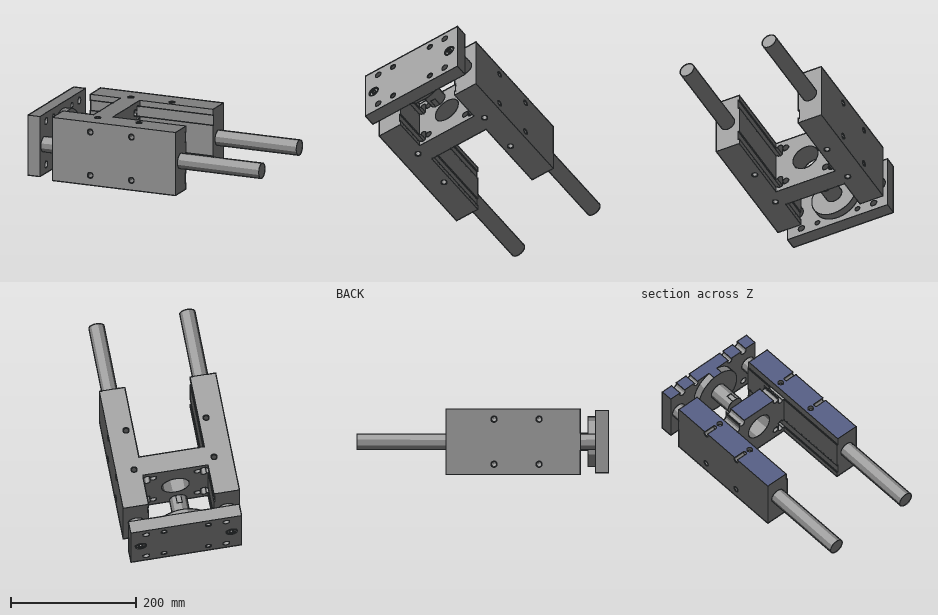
import cadquery as cq
import math

OVERALL_LENGTH = 402.0

PLATE_THICKNESS = 21.0
PLATE_WIDTH = 180.0
PLATE_HEIGHT = 100.0

BODY_START = 45.0
BODY_LENGTH = 215.0
BODY_WIDTH = 189.0
BODY_HEIGHT = 105.0
ARM_GAP = 106.0
BRIDGE_START = 98.5
BRIDGE_THICKNESS = 33.5
CYLINDER_BORE_DIAMETER = 45.0

ROD_DIAMETER = 25.0
ROD_SPACING = 147.5

FLANGE_DIAMETER = 80.0
FLANGE_THICKNESS = 12.0
STUB_DIAMETER = 28.23
STUB_LENGTH = 40.5
STUB_FLAT_WIDTH = 27.0
STUB_FLAT_LENGTH = 14.0

BOLT_SPACING = 72.0
CLEARANCE_DIAMETER = 11.0
PLATE_MOUNT_SPACING = 130.0

TAP_DIAMETER = 8.38
TAP_MOUTH_DIAMETER = 10.0
TAP_DEPTH = 20.0
DRILL_TIP_ANGLE = 118.0
FIRST_TAP_X = 111.0
TOP_TAP_SPACING = 130.0

SCREW_BORE_DIAMETER = 18.0
SCREW_BORE_DEPTH = 11.0
SCREW_HEAD_DIAMETER = 17.0
SCREW_HEAD_HEIGHT = 10.0
SCREW_HEAD_CHAMFER = 1.3
SOCKET_ACROSS_FLATS = 7.0
SOCKET_DEPTH = 5.0

GROOVE_CENTRE_Z = 34.0
GROOVE_WIDTH = 17.0
GROOVE_DEPTH = 1.9
SLOT_HEIGHT = 23.0
SLOT_WIDTH = 9.5
SLOT_INNER_Y = 41.3

SIDES = (-1, 1)


def block(x_start, length, width, height, y=0.0, z=0.0):
    """Box starting at x_start, centred on (y, z)."""
    return cq.Workplane("XY").box(length, width, height).translate((x_start + length / 2, y, z))


def cylinder_x(x_start, length, diameter, y=0.0, z=0.0):
    """Cylinder along +X."""
    return cq.Workplane("YZ", origin=(x_start, y, z)).circle(diameter / 2).extrude(length)


def square_pattern(y_spacing, z_spacing):
    """Four (y, z) places centred on the axis."""
    return [(sy * y_spacing / 2, sz * z_spacing / 2) for sy in SIDES for sz in SIDES]


def make_housing():
    """Two side arms joined by a bridge with the cylinder bore and its four bolt holes."""
    body = block(BODY_START, BODY_LENGTH, BODY_WIDTH, BODY_HEIGHT)
    bridge_end = BRIDGE_START + BRIDGE_THICKNESS
    body = body.cut(block(BODY_START, BRIDGE_START - BODY_START, ARM_GAP, BODY_HEIGHT))
    body = body.cut(block(bridge_end, BODY_START + BODY_LENGTH - bridge_end, ARM_GAP, BODY_HEIGHT))
    body = body.cut(cylinder_x(BRIDGE_START, BRIDGE_THICKNESS, CYLINDER_BORE_DIAMETER))
    for y, z in square_pattern(BOLT_SPACING, BOLT_SPACING):
        body = body.cut(cylinder_x(BRIDGE_START, BRIDGE_THICKNESS, CLEARANCE_DIAMETER, y, z))
    return body


def cut_grooves(body):
    """Cut the four long grooves in the arms and the upright slots they open into through the bridge."""
    slot_y = SLOT_INNER_Y + SLOT_WIDTH / 2
    opening_width = ARM_GAP / 2 - slot_y
    groove_y = (ARM_GAP + GROOVE_DEPTH) / 2
    for side, z in square_pattern(2, 2 * GROOVE_CENTRE_Z):
        body = body.cut(block(BODY_START, BODY_LENGTH, GROOVE_DEPTH, GROOVE_WIDTH, side * groove_y, z))
        opening_y = side * (slot_y + opening_width / 2)
        body = body.cut(block(BRIDGE_START, BRIDGE_THICKNESS, opening_width, GROOVE_WIDTH, opening_y, z))
        slot = cq.Workplane("YZ", origin=(BRIDGE_START, side * slot_y, z))
        body = body.cut(slot.slot2D(SLOT_HEIGHT, SLOT_WIDTH, 90).extrude(BRIDGE_THICKNESS))
    return body


def make_tap():
    """Drilled hole below the XY plane with a countersunk mouth and a conical tip."""
    radius = TAP_DIAMETER / 2
    mouth_radius = TAP_MOUTH_DIAMETER / 2
    tip_height = radius / math.tan(math.radians(DRILL_TIP_ANGLE / 2))
    profile = [
        (0, 0),
        (mouth_radius, 0),
        (radius, radius - mouth_radius),
        (radius, -TAP_DEPTH),
        (0, -TAP_DEPTH - tip_height),
    ]
    return cq.Workplane("XZ").polyline(profile).close().revolve(360, (0, 0, 0), (0, 1, 0))


def cut_taps(body):
    """Cut the tapped holes in the top, bottom and outer side faces of the arms."""
    tap = make_tap()
    axis_end = (1, 0, 0)
    for x in (FIRST_TAP_X, FIRST_TAP_X + BOLT_SPACING):
        for side in SIDES:
            top = tap.translate((x, side * TOP_TAP_SPACING / 2, BODY_HEIGHT / 2))
            body = body.cut(top).cut(top.rotate((0, 0, 0), axis_end, 180))
            outward = tap.rotate((0, 0, 0), axis_end, 90)
            front = outward.translate((x, -BODY_WIDTH / 2, side * BOLT_SPACING / 2))
            body = body.cut(front).cut(front.rotate((0, 0, 0), axis_end, 180))
    return body


def make_plate():
    """Front plate with tapped holes, mounting holes and counterbores for the rod screws."""
    plate = block(0, PLATE_THICKNESS, PLATE_WIDTH, PLATE_HEIGHT)
    hole_radius = TAP_DIAMETER / 2
    mouth_radius = TAP_MOUTH_DIAMETER / 2
    mouth_depth = mouth_radius - hole_radius
    along_x = cq.Vector(1, 0, 0)
    for y, z in square_pattern(BOLT_SPACING, BOLT_SPACING):
        hole = cylinder_x(0, PLATE_THICKNESS, TAP_DIAMETER, y, z)
        countersink = cq.Solid.makeCone(mouth_radius, hole_radius, mouth_depth, cq.Vector(0, y, z), along_x)
        plate = plate.cut(hole).cut(countersink)
    for y, z in square_pattern(PLATE_MOUNT_SPACING, BOLT_SPACING):
        plate = plate.cut(cylinder_x(0, PLATE_THICKNESS, CLEARANCE_DIAMETER, y, z))
    for side in SIDES:
        plate = plate.cut(cylinder_x(0, SCREW_BORE_DEPTH, SCREW_BORE_DIAMETER, side * ROD_SPACING / 2))
    return plate


def make_screw_head(y):
    """Socket screw head seated at the bottom of its counterbore."""
    head_start = SCREW_BORE_DEPTH - SCREW_HEAD_HEIGHT
    head = cylinder_x(head_start, SCREW_HEAD_HEIGHT, SCREW_HEAD_DIAMETER, y)
    head = head.faces("<X").chamfer(SCREW_HEAD_CHAMFER)
    across_corners = SOCKET_ACROSS_FLATS / math.cos(math.pi / 6)
    socket = cq.Workplane("YZ", origin=(head_start, y, 0)).polygon(6, across_corners).extrude(SOCKET_DEPTH)
    return head.cut(socket)


def make_stub():
    """Round flange behind the plate with a stub that has two flats at its end."""
    stub_start = PLATE_THICKNESS + FLANGE_THICKNESS
    flange = cylinder_x(PLATE_THICKNESS, FLANGE_THICKNESS, FLANGE_DIAMETER)
    stub = cylinder_x(stub_start, STUB_LENGTH, STUB_DIAMETER)
    flat_start = stub_start + STUB_LENGTH - STUB_FLAT_LENGTH
    for side in SIDES:
        offset = side * (STUB_FLAT_WIDTH + STUB_DIAMETER) / 2
        stub = stub.cut(block(flat_start, STUB_FLAT_LENGTH, STUB_DIAMETER, STUB_DIAMETER, 0, offset))
    return flange.union(stub)


result = cut_taps(cut_grooves(make_housing()))
result = result.union(make_plate()).union(make_stub())
for rod_side in SIDES:
    rod_y = rod_side * ROD_SPACING / 2
    rod = cylinder_x(PLATE_THICKNESS, OVERALL_LENGTH - PLATE_THICKNESS, ROD_DIAMETER, rod_y)
    result = result.union(rod).union(make_screw_head(rod_y))